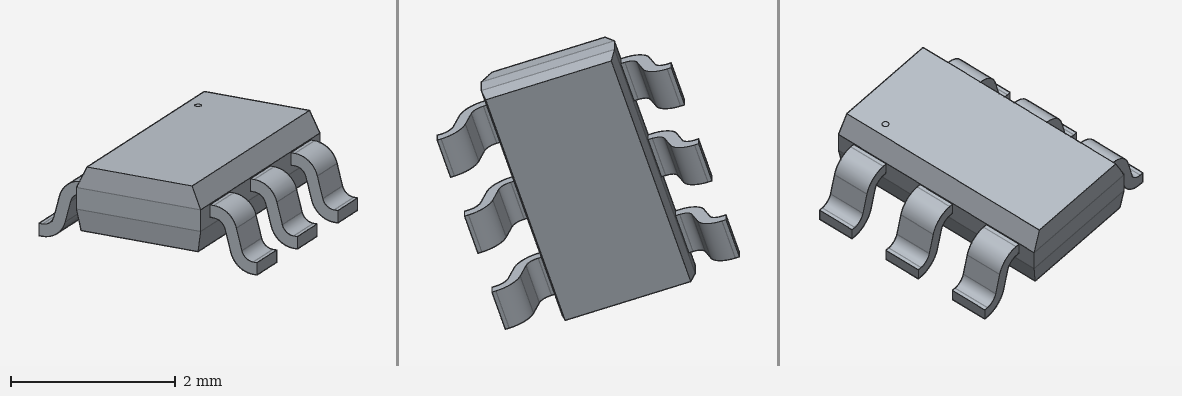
import cadquery as cq
import math

span_x = 3.0
length_y = 3.1
top_z = 1.09

band_width = 1.708
layer_height = 0.28
top_side_draft = 25.0
bottom_side_draft = 10.0
end_draft = 5.0

leads_per_side = 3
lead_pitch = 1.05
lead_width = 0.515
lead_thickness = 0.16
lead_top_z = 0.8
shoulder_length = 0.053
inner_bend_radius = lead_thickness
leg_lean = 15.0

marker_diameter = 0.085
marker_depth = 0.03
marker_x = -0.558
marker_y = lead_pitch


def draft_inset(angle):
    """Total narrowing, both sides together, over one layer."""
    return 2 * layer_height * math.tan(math.radians(angle))


def tapered_layer(base_z, direction, side_draft):
    """Layer that narrows away from the band, upward (1) or downward (-1)."""
    return (
        cq.Workplane("XY", origin=(0, 0, base_z))
        .rect(band_width, length_y)
        .workplane(offset=direction * layer_height)
        .rect(band_width - draft_inset(side_draft), length_y - draft_inset(end_draft))
        .loft(ruled=True)
    )


def make_marker():
    return (
        cq.Workplane("XY", origin=(marker_x, marker_y, top_z - marker_depth))
        .circle(marker_diameter / 2)
        .extrude(marker_depth)
    )


def make_housing(marker):
    band_top_z = top_z - layer_height
    band_bottom_z = band_top_z - layer_height
    band = (
        cq.Workplane("XY", origin=(0, 0, band_bottom_z))
        .rect(band_width, length_y)
        .extrude(layer_height)
    )
    upper = tapered_layer(band_top_z, 1, top_side_draft)
    lower = tapered_layer(band_bottom_z, -1, bottom_side_draft)
    return band.union(upper).union(lower).cut(marker)


def make_lead(side, center_y):
    """S-shaped lead on the -X (side = -1) or +X (side = 1) face of the housing."""
    outer_bend_radius = inner_bend_radius + lead_thickness
    turn = math.radians(90 - leg_lean)
    shoulder_x = band_width / 2 + shoulder_length
    shoulder_center_z = lead_top_z - outer_bend_radius

    bend_rise = (inner_bend_radius + outer_bend_radius) * (1 - math.cos(turn))
    leg_drop = lead_top_z - lead_thickness - bend_rise
    leg_run = leg_drop / math.tan(turn)
    foot_x = shoulder_x + (inner_bend_radius + outer_bend_radius) * math.sin(turn) + leg_run
    foot_center_z = outer_bend_radius

    def on_shoulder(radius, angle):
        x = shoulder_x + radius * math.sin(angle)
        return side * x, shoulder_center_z + radius * math.cos(angle)

    def on_foot(radius, angle):
        x = foot_x - radius * math.sin(angle)
        return side * x, foot_center_z - radius * math.cos(angle)

    wall_x = side * band_width / 2
    tip_x = side * span_x / 2
    profile = (
        cq.Workplane("XZ", origin=(0, center_y + lead_width / 2, 0))
        .moveTo(wall_x, lead_top_z)
        .lineTo(*on_shoulder(outer_bend_radius, 0))
        .threePointArc(on_shoulder(outer_bend_radius, turn / 2), on_shoulder(outer_bend_radius, turn))
        .lineTo(*on_foot(inner_bend_radius, turn))
        .threePointArc(on_foot(inner_bend_radius, turn / 2), on_foot(inner_bend_radius, 0))
        .lineTo(tip_x, lead_thickness)
        .lineTo(tip_x, 0)
        .lineTo(*on_foot(outer_bend_radius, 0))
        .threePointArc(on_foot(outer_bend_radius, turn / 2), on_foot(outer_bend_radius, turn))
        .lineTo(*on_shoulder(inner_bend_radius, turn))
        .threePointArc(on_shoulder(inner_bend_radius, turn / 2), on_shoulder(inner_bend_radius, 0))
        .lineTo(wall_x, lead_top_z - lead_thickness)
        .close()
    )
    return profile.extrude(lead_width)


marker = make_marker()
housing = make_housing(marker)

leads = []
for side in (-1, 1):
    for row in range(leads_per_side):
        center_y = (row - (leads_per_side - 1) / 2) * lead_pitch
        leads.append(make_lead(side, center_y).val())

result = cq.Compound.makeCompound([housing.val(), marker.val(), *leads])